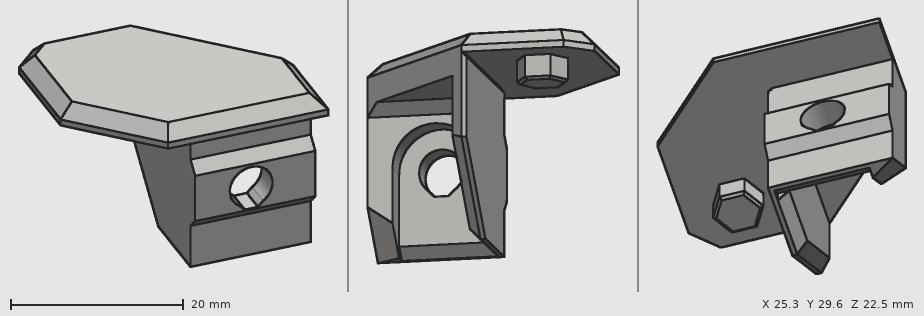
import cadquery as cq
import math

WIDTH = 25.3
DEPTH = 29.55
HEIGHT = 22.5

PLATE_LIP = 0.8
PLATE_BEVEL = 1.68
PLATE_UNDERSIDE = HEIGHT - PLATE_LIP - PLATE_BEVEL
SMALL_CORNER = 3.0
RIGHT_CORNER = 9.55
DIAGONAL_START = 15.13

WALL_LIP = 0.6
WALL_BEVEL = 1.4
WALL_THICKNESS = WALL_LIP + WALL_BEVEL
WALL_FRONT = DIAGONAL_START - WALL_LIP
WALL_INNER = WALL_FRONT + WALL_THICKNESS
SIDE_OUTER = 19.9
SIDE_INNER = SIDE_OUTER - WALL_THICKNESS
SLOPE_SIZE = 9.95

BLOCK_LEFT = DEPTH - DIAGONAL_START
CEILING = 17.52
CORNER_FILL = 1.48

HOLE_Y = 21.55
HOLE_Z = 10.0
HOLE_RADIUS = 2.65
NOTCH_DROP = 2.87
NOTCH_FLAT_HALF = 0.83
NOTCH_HEIGHT = 0.9
RECESS_RADIUS = 5.02

TONGUE_HEIGHT = 1.42
TONGUE_ROOT_HALF = 4.45

PEG_X = 6.0
PEG_Y = 6.85
PEG_FLATS = 5.23
PEG_BOTTOM = 17.15
PEG_CHAMFER = 0.33

GROOVE_DEPTH = 0.35
GROOVE_STRAIGHT = 0.18


def box(x0, x1, y0, y1, z0, z1):
    """Axis-aligned box between two corners."""
    return cq.Workplane("XY").box(x1 - x0, y1 - y0, z1 - z0, centered=False).translate((x0, y0, z0))


def prism_along_y(points, y0, y1):
    """Extrude an (x, z) outline from y0 to y1."""
    return cq.Workplane("XZ", origin=(0, y0, 0)).polyline(points).close().extrude(y0 - y1)


def prism_along_x(points, x0, x1):
    """Extrude a (y, z) outline from x0 to x1."""
    return cq.Workplane("YZ", origin=(x0, 0, 0)).polyline(points).close().extrude(x1 - x0)


def top_plate():
    outline = [
        (SMALL_CORNER, 0),
        (WIDTH - RIGHT_CORNER, 0),
        (WIDTH, RIGHT_CORNER),
        (WIDTH, DEPTH),
        (BLOCK_LEFT, DEPTH),
        (0, DIAGONAL_START),
        (0, SMALL_CORNER),
    ]
    plate = cq.Workplane("XY", origin=(0, 0, PLATE_UNDERSIDE)).polyline(outline).close()
    return plate.extrude(PLATE_LIP + PLATE_BEVEL).faces(">Z").chamfer(PLATE_BEVEL)


def inner_pocket():
    """Space behind the front wall, under a ceiling with a 45 degree corner fill."""
    outline = [
        (0, 0),
        (BLOCK_LEFT, 0),
        (BLOCK_LEFT, CEILING - CORNER_FILL),
        (BLOCK_LEFT - CORNER_FILL, CEILING),
        (0, CEILING),
    ]
    return prism_along_y(outline, WALL_INNER, DEPTH)


def tilted_cut():
    """Wedge from the slope's edge on the wall to the bottom rear corner of the side wall."""
    wedge = cq.Workplane("XZ", origin=(0, DIAGONAL_START, 0))
    wedge = wedge.polyline([(0, 0), (SLOPE_SIZE, 0), (0, SLOPE_SIZE)]).close()
    wedge = wedge.workplane(offset=DIAGONAL_START - DEPTH)
    wedge = wedge.polyline([(0, 0), (SIDE_OUTER, 0), (0, SIDE_OUTER)]).close().loft(ruled=True)
    return wedge.intersect(box(0, SIDE_OUTER, WALL_INNER, DEPTH, 0, CEILING))


def slope_bevel():
    """45 degree bevel on the inner edge of the wall's slope."""
    end_size = SLOPE_SIZE + WALL_BEVEL * math.sqrt(2)
    wedge = cq.Workplane("XZ", origin=(0, DIAGONAL_START, 0))
    wedge = wedge.polyline([(0, 0), (SLOPE_SIZE, 0), (0, SLOPE_SIZE)]).close()
    wedge = wedge.workplane(offset=-WALL_BEVEL)
    return wedge.polyline([(0, 0), (end_size, 0), (0, end_size)]).close().loft(ruled=True)


def wall_bottom_bevel():
    """45 degree bevel on the inner bottom edge of the front wall."""
    outline = [(DIAGONAL_START, 0), (WALL_INNER, 0), (WALL_INNER, WALL_BEVEL)]
    return prism_along_x(outline, 0, SIDE_INNER)


def side_bottom_bevel():
    """45 degree bevel on the inner bottom edge of the side wall."""
    outline = [(SIDE_INNER, 0), (SIDE_INNER + WALL_BEVEL, 0), (SIDE_INNER, WALL_BEVEL)]
    return prism_along_y(outline, DIAGONAL_START, HOLE_Y + RECESS_RADIUS)


def head_recess():
    """Arched recess, open at the bottom, down to the side wall's inner face."""
    length = SIDE_INNER - BLOCK_LEFT
    arch = cq.Workplane("YZ", origin=(BLOCK_LEFT, HOLE_Y, HOLE_Z)).circle(RECESS_RADIUS).extrude(length)
    legs = box(BLOCK_LEFT, SIDE_INNER, HOLE_Y - RECESS_RADIUS, HOLE_Y + RECESS_RADIUS, 0, HOLE_Z)
    return arch.union(legs)


def screw_hole():
    """Round hole with a small 45 degree flanked notch at the bottom."""
    length = SIDE_OUTER + TONGUE_HEIGHT - BLOCK_LEFT
    hole = cq.Workplane("YZ", origin=(BLOCK_LEFT, HOLE_Y, HOLE_Z)).circle(HOLE_RADIUS).extrude(length)
    notch_bottom = HOLE_Z - NOTCH_DROP
    notch_top = notch_bottom + NOTCH_HEIGHT
    top_half = NOTCH_FLAT_HALF + NOTCH_HEIGHT
    outline = [
        (HOLE_Y - NOTCH_FLAT_HALF, notch_bottom),
        (HOLE_Y + NOTCH_FLAT_HALF, notch_bottom),
        (HOLE_Y + top_half, notch_top),
        (HOLE_Y - top_half, notch_top),
    ]
    return hole.union(prism_along_x(outline, BLOCK_LEFT, BLOCK_LEFT + length))


def tongue():
    tip_half = TONGUE_ROOT_HALF - TONGUE_HEIGHT
    outline = [
        (SIDE_OUTER, HOLE_Z - TONGUE_ROOT_HALF),
        (SIDE_OUTER + TONGUE_HEIGHT, HOLE_Z - tip_half),
        (SIDE_OUTER + TONGUE_HEIGHT, HOLE_Z + tip_half),
        (SIDE_OUTER, HOLE_Z + TONGUE_ROOT_HALF),
    ]
    return prism_along_y(outline, WALL_FRONT, DEPTH)


def relief_groove():
    groove_floor = WALL_FRONT + GROOVE_DEPTH
    outline = [
        (WALL_FRONT, PLATE_UNDERSIDE),
        (groove_floor, PLATE_UNDERSIDE),
        (groove_floor, PLATE_UNDERSIDE - GROOVE_STRAIGHT),
        (WALL_FRONT, PLATE_UNDERSIDE - GROOVE_STRAIGHT - GROOVE_DEPTH),
    ]
    return prism_along_x(outline, 0, SIDE_OUTER)


def peg():
    corner_diameter = PEG_FLATS / math.cos(math.pi / 6)
    body = cq.Workplane("XY", origin=(PEG_X, PEG_Y, PEG_BOTTOM))
    body = body.transformed(rotate=(0, 0, 90)).polygon(6, corner_diameter)
    return body.extrude(PLATE_UNDERSIDE - PEG_BOTTOM).faces("<Z").chamfer(PEG_CHAMFER)


body_outline = [
    (0, WALL_FRONT),
    (SIDE_OUTER, WALL_FRONT),
    (SIDE_OUTER, DEPTH),
    (BLOCK_LEFT, DEPTH),
    (0, DIAGONAL_START),
]
body = cq.Workplane("XY").polyline(body_outline).close().extrude(PLATE_UNDERSIDE)
slope = prism_along_y([(0, 0), (SLOPE_SIZE, 0), (0, SLOPE_SIZE)], WALL_FRONT, DEPTH)

body = body.cut(inner_pocket()).cut(slope).cut(slope_bevel()).cut(tilted_cut())
body = body.cut(head_recess()).cut(wall_bottom_bevel()).cut(side_bottom_bevel())
body = body.union(tongue()).cut(screw_hole()).cut(relief_groove())

result = body.union(top_plate()).union(peg())